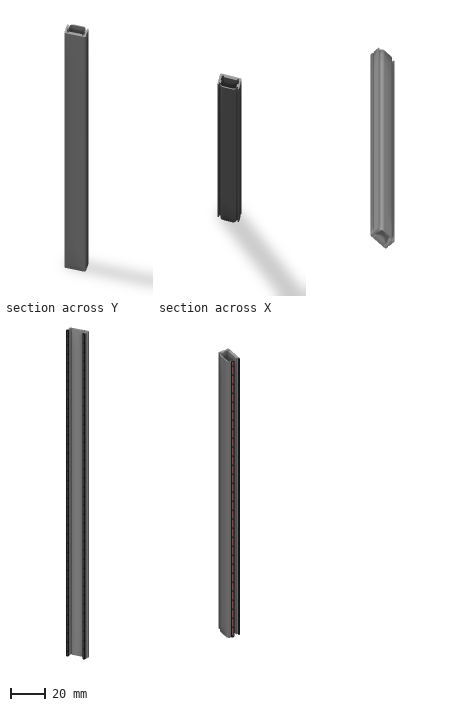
import cadquery as cq

length = 200.0
width = 13.0
height = 8.0
half_width = width / 2
bottom = -height / 2
top = height / 2

base_thickness = 1.8
wall_top = 3.0
wall_thickness = 1.2
seat_depth = 0.5
seat_y = 0.0
corner_radius = 0.8
groove_top = -1.0
groove_bottom = -2.2
groove_depth = 0.5
relief_outer = 4.8
relief_width = 0.5
relief_depth = 1.0

shoulder_gap = 0.8
catch_top = 1.8
leg_thickness = 1.0
roof_thickness = 0.5
roof_radius = 2.0

floor_y = bottom + base_thickness
wall_inner = half_width - wall_thickness
seat_inner = wall_inner + seat_depth
groove_tip_x = half_width - groove_depth
groove_tip_y = (groove_top + groove_bottom) / 2
relief_inner = relief_outer - relief_width
relief_middle = (relief_outer + relief_inner) / 2
leg_inner = seat_inner - leg_thickness
shoulder_x = seat_inner - shoulder_gap
inner_radius = roof_radius - roof_thickness
ceiling_y = top - roof_thickness


def section():
    return cq.Workplane("XY").workplane(offset=-length / 2)


def make_channel():
    """Flat-based channel with a stepped seat for the cover inside each wall."""
    outline = (
        section()
        .moveTo(0, bottom)
        .lineTo(half_width, bottom)
        .lineTo(half_width, groove_bottom)
        .threePointArc((groove_tip_x, groove_tip_y), (half_width, groove_top))
        .lineTo(half_width, wall_top)
        .lineTo(seat_inner, wall_top)
        .lineTo(seat_inner, seat_y)
        .lineTo(wall_inner, seat_y)
        .lineTo(wall_inner, floor_y)
        .lineTo(relief_outer, floor_y)
        .threePointArc((relief_middle, floor_y - relief_depth), (relief_inner, floor_y))
        .lineTo(0, floor_y)
        .mirrorY()
    )
    channel = outline.extrude(length)
    return channel.edges("|Z").edges("<Y").fillet(corner_radius)


def make_cover():
    """Rounded cover whose legs stand on the seats of the channel."""
    outline = (
        section()
        .moveTo(0, top)
        .lineTo(shoulder_x - roof_radius, top)
        .radiusArc((shoulder_x, top - roof_radius), roof_radius)
        .lineTo(shoulder_x, catch_top)
        .lineTo(seat_inner, catch_top)
        .lineTo(seat_inner, seat_y)
        .lineTo(leg_inner, seat_y)
        .lineTo(leg_inner, ceiling_y - inner_radius)
        .radiusArc((leg_inner - inner_radius, ceiling_y), -inner_radius)
        .lineTo(0, ceiling_y)
        .mirrorY()
    )
    return outline.extrude(length)


channel = make_channel()
cover = make_cover()
result = cq.Compound.makeCompound([channel.val(), cover.val()])